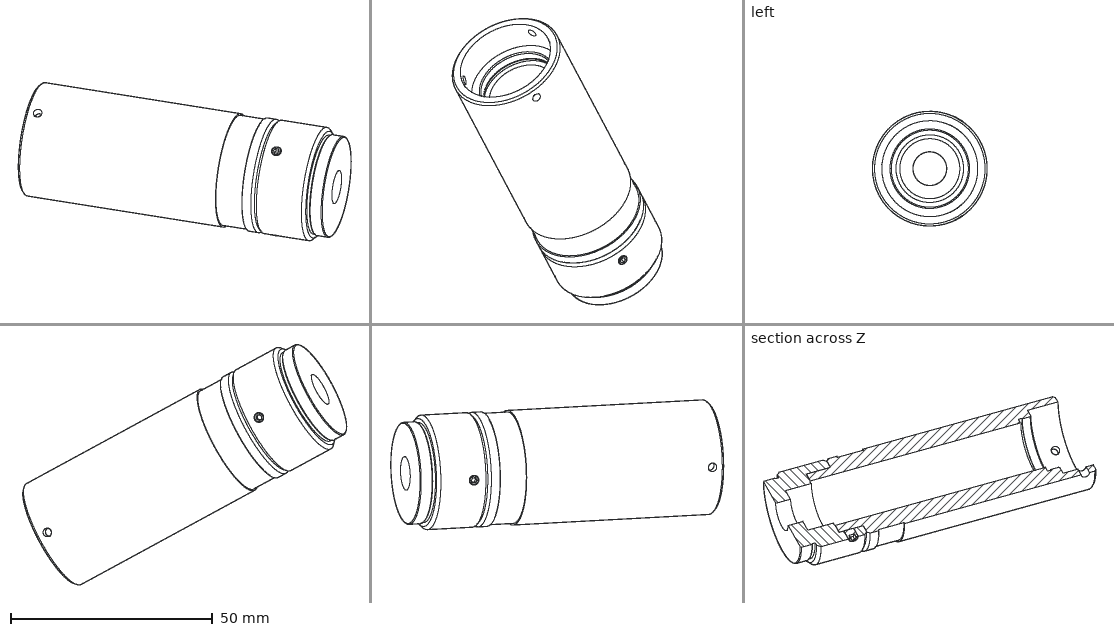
import cadquery as cq
import math

total_length = 78.4
outer_radius = 14.3

barrel_end = 61.15
front_chamfer = 0.55
waist_start = 51.3
waist_end = 58.1
waist_radius = 13.9
joint_chamfer = 0.7
joint_radius = outer_radius - joint_chamfer
spigot_radius = 11.2
spigot_length = 6.4
spigot_end = barrel_end + spigot_length

mouth_radius = 11.9
mouth_depth = 8.1
seat_radius = 9.6
seat_chamfer = 0.3
seat_depth = 11.4
relief_radius = 9.8
relief_width = 0.9
bore_radius = 8.4

flange_face = 74.4
cap_chamfer = 0.9
mount_radius = 12.7
mount_chamfer = 0.2
mount_relief_radius = 12.5
mount_relief_width = 0.7
cap_bore_radius = 7.45
aperture_radius = 4.15

radial_count = 3
drill_overrun = 0.8
front_hole_x = 3.05
front_hole_diameter = 2.1
screw_x = 64.9
screw_diameter = 2.4
screw_chamfer = 0.15
screw_top_radius = 14.3
socket_across_flats = 1.25
socket_depth = 1.2


def revolve_about_x(points):
    """Solid of revolution from (x, radius) points."""
    return cq.Workplane("XY").polyline(points).close().revolve(360, (0, 0, 0), (1, 0, 0))


def radial_plane(x, index, radius):
    """Workplane at the given radius that faces outwards at one of the equally spaced angles."""
    angle = 2 * math.pi * index / radial_count
    outward = (0, math.cos(angle), math.sin(angle))
    origin = (x, radius * outward[1], radius * outward[2])
    return cq.Workplane(cq.Plane(origin=origin, xDir=(1, 0, 0), normal=outward))


def drill_radial_holes(body, x, diameter, floor_radius):
    """Cut the equally spaced radial holes from outside the body down to floor_radius."""
    depth = outer_radius + drill_overrun - floor_radius
    for index in range(radial_count):
        drill = radial_plane(x, index, floor_radius).circle(diameter / 2).extrude(depth)
        body = body.cut(drill)
    return body


def make_barrel():
    profile = [
        (0, mouth_radius),
        (0, outer_radius - front_chamfer),
        (front_chamfer, outer_radius),
        (waist_start, outer_radius),
        (waist_start, waist_radius),
        (waist_end, waist_radius),
        (waist_end, outer_radius),
        (barrel_end - joint_chamfer, outer_radius),
        (barrel_end, joint_radius),
        (barrel_end, spigot_radius),
        (spigot_end, spigot_radius),
        (spigot_end, bore_radius),
        (seat_depth, bore_radius),
        (seat_depth, relief_radius),
        (seat_depth - relief_width, relief_radius),
        (seat_depth - relief_width, seat_radius),
        (mouth_depth + seat_chamfer, seat_radius),
        (mouth_depth, seat_radius + seat_chamfer),
        (mouth_depth, mouth_radius),
    ]
    inside_mouth = mouth_radius - drill_overrun
    return drill_radial_holes(revolve_about_x(profile), front_hole_x, front_hole_diameter, inside_mouth)


def make_cap():
    thread_start = flange_face + mount_relief_width
    mount_step = mount_radius - mount_relief_radius
    profile = [
        (barrel_end, spigot_radius),
        (barrel_end, joint_radius),
        (barrel_end + joint_chamfer, outer_radius),
        (flange_face - cap_chamfer, outer_radius),
        (flange_face, outer_radius - cap_chamfer),
        (flange_face, mount_relief_radius),
        (thread_start, mount_relief_radius),
        (thread_start + mount_step, mount_radius),
        (total_length - mount_chamfer, mount_radius),
        (total_length, mount_radius - mount_chamfer),
        (total_length, aperture_radius),
        (flange_face, aperture_radius),
        (flange_face, cap_bore_radius),
        (spigot_end, cap_bore_radius),
        (spigot_end, spigot_radius),
    ]
    inside_socket = spigot_radius - drill_overrun
    return drill_radial_holes(revolve_about_x(profile), screw_x, screw_diameter, inside_socket)


def make_set_screw(index):
    """Headless screw with a hexagon socket, its inner end seated on the round spigot."""
    screw_base = radial_plane(screw_x, index, spigot_radius - drill_overrun)
    length = screw_top_radius - spigot_radius + drill_overrun
    screw = screw_base.circle(screw_diameter / 2).extrude(length)

    top_plane = radial_plane(screw_x, index, screw_top_radius)
    outer_end = cq.selectors.NearestToPointSelector(top_plane.plane.origin.toTuple())
    screw = screw.faces(outer_end).chamfer(screw_chamfer)

    across_corners = socket_across_flats / math.cos(math.pi / 6)
    screw = screw.cut(top_plane.polygon(6, across_corners).extrude(-socket_depth))

    spigot = cq.Workplane("YZ", origin=(barrel_end, 0, 0)).circle(spigot_radius).extrude(spigot_length)
    return screw.cut(spigot)


barrel = make_barrel()
cap = make_cap()
set_screws = [make_set_screw(index) for index in range(radial_count)]

result = cq.Compound.makeCompound([barrel.val(), cap.val(), *[screw.val() for screw in set_screws]])